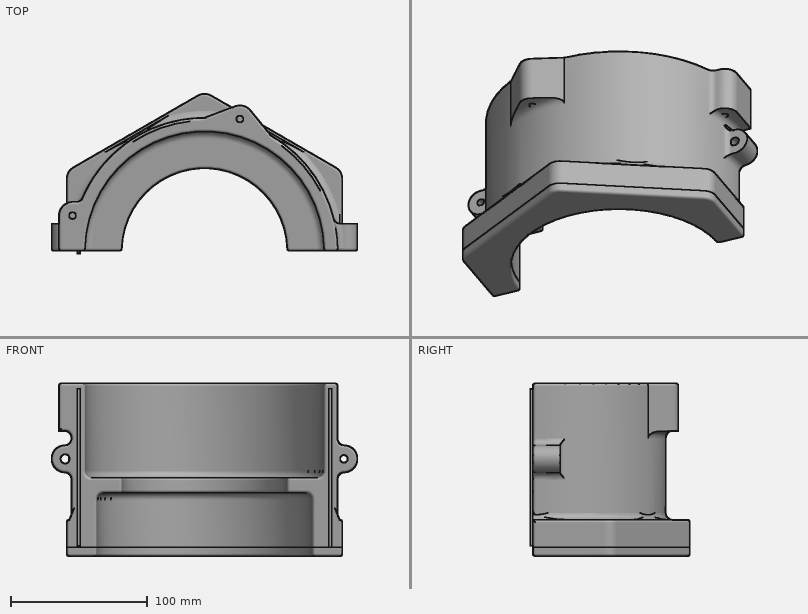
import cadquery as cq
import math


height = 126.71
plate_thickness = 6.71
edge_round = 2.0
cove_radius = 5.0
tolerance = 0.1
cutter_size = 4 * height

wall_radius = 97.5
upper_bore_radius = 87.5
lower_bore_radius = 79.0
throat_radius = 60.5
ledge_bottom = 46.5
ledge_top = 57.6

foot_half_width = 101.0
foot_height = plate_thickness + 20.0
foot_corner_radius = 10.0

lug_offset = 102.0
lug_height = 71.3
lug_radius = 10.0
lug_depth = 20.0
lug_hole_radii = {-1: 3.3, 1: 2.7}

ear_pitch_radius = 100.0
corner_ear_angle = 165.0
flanked_ear_angle = 75.0
ear_flank_angle = 15.0
ear_radius = 10.0
ear_height = 35.0
ear_hole_radius = 2.5

tongue_offset = 92.0
tongue_width = 2.0
tongue_depth = 2.0
tongue_top = height - 4.2
tongue_clearance = 1.0


def cylinder(radius, bottom, top):
    return cq.Workplane(origin=(0, 0, bottom)).circle(radius).extrude(top - bottom)


def keep_half(body):
    """Remove everything in front of the split face."""
    front = cq.Workplane().box(cutter_size, cutter_size, cutter_size, centered=(True, False, True))
    return body.cut(front.translate((0, -cutter_size, 0)))


def edges_in_box(x_limits, y_max, z_limits):
    """Selector for edges that lie fully inside a box that starts at the split face."""
    low = (x_limits[0] - tolerance, -tolerance, z_limits[0] - tolerance)
    high = (x_limits[1] + tolerance, y_max + tolerance, z_limits[1] + tolerance)
    return cq.selectors.BoxSelector(low, high, boundingbox=True)


def hexagon(half_width, corner_radius):
    """Hexagon with two corners on the Y axis and two flats facing +X and -X."""
    corner_distance = half_width / math.cos(math.pi / 6)
    return cq.Sketch().regularPolygon(corner_distance, 6).vertices().fillet(corner_radius)


def foot_cove():
    """Blend from the wall down to the foot, cut back where the flats come close to the wall."""
    outer = wall_radius + cove_radius
    top = foot_height + cove_radius
    ring = (
        cq.Workplane("XZ").moveTo(0, foot_height).lineTo(outer, foot_height)
        .radiusArc((wall_radius, top), cove_radius)
        .lineTo(0, top).close()
        .revolve(360, (0, 0), (0, 1))
    )
    inset = foot_half_width - edge_round
    run = inset - wall_radius
    rise = math.sqrt(cove_radius ** 2 - (cove_radius - run) ** 2)
    limit = (
        cq.Workplane(origin=(0, 0, foot_height))
        .placeSketch(hexagon(inset, foot_corner_radius - edge_round))
        .extrude(cove_radius, taper=math.degrees(math.atan(run / rise)))
    )
    return ring.intersect(limit)


def foot():
    half = keep_half(
        cq.Workplane().placeSketch(hexagon(foot_half_width, foot_corner_radius)).extrude(foot_height)
    )
    split_corners = half.faces("<Y").edges("|Z").vals()
    top_outline = half.faces(">Z").edges("not <Y").vals()
    rounded = half.newObject(split_corners + top_outline).fillet(edge_round)
    return rounded.union(foot_cove())


def side_lug(side):
    """Round lug standing out from the wall behind the split face."""
    centre = cq.Workplane("XZ", origin=(side * lug_offset, 0, lug_height))
    web_length = lug_offset - upper_bore_radius
    boss = centre.circle(lug_radius).extrude(-lug_depth)
    web = centre.center(-side * web_length / 2, 0).rect(web_length, 2 * lug_radius).extrude(-lug_depth)
    return boss.union(web)


def polar(radius, angle):
    return radius * math.cos(math.radians(angle)), radius * math.sin(math.radians(angle))


def corner_ear():
    """Ear whose straight side runs down to the split face."""
    x, y = polar(ear_pitch_radius, corner_ear_angle)
    outline = (
        cq.Workplane(origin=(0, 0, height)).moveTo(-upper_bore_radius, 0).lineTo(x - ear_radius, 0)
        .lineTo(x - ear_radius, y).radiusArc((x, y + ear_radius), ear_radius)
        .lineTo(-upper_bore_radius, y + ear_radius).close()
    )
    return outline.extrude(-ear_height)


def flanked_ear():
    """Ear with two straight flanks that run from the wall tangent to its round end."""
    root_x, root_y = polar(wall_radius, ear_flank_angle)
    setback = ear_pitch_radius - root_x
    tangent_angle = math.atan2(setback, root_y) + math.asin(ear_radius / math.hypot(setback, root_y))
    tangent_x = ear_pitch_radius + ear_radius * math.cos(tangent_angle)
    tangent_y = ear_radius * math.sin(tangent_angle)
    outline = (
        cq.Workplane(origin=(0, 0, height)).moveTo(upper_bore_radius, 0).lineTo(root_x, -root_y)
        .lineTo(tangent_x, -tangent_y)
        .threePointArc((ear_pitch_radius + ear_radius, 0), (tangent_x, tangent_y))
        .lineTo(root_x, root_y).close()
    )
    return outline.extrude(-ear_height).rotate((0, 0, 0), (0, 0, 1), flanked_ear_angle)


def add_lug_coves(body):
    wall_x_at_lug_end = math.sqrt(wall_radius ** 2 - lug_depth ** 2)
    z_limits = (lug_height - lug_radius, lug_height + lug_radius)
    for side in (-1, 1):
        x_limits = sorted((side * wall_x_at_lug_end, side * wall_radius))
        body = body.edges(edges_in_box(x_limits, lug_depth, z_limits)).fillet(cove_radius)
    return body


def add_ear_coves(body):
    """Coves under both ears and along the upright side of the corner ear."""
    ear_bottom = height - ear_height
    side_y = polar(ear_pitch_radius, corner_ear_angle)[1] + ear_radius
    side_x = -math.sqrt(wall_radius ** 2 - side_y ** 2)
    corner_ear_joint = edges_in_box((-wall_radius, side_x), side_y, (ear_bottom, ear_bottom))
    upright_joint = edges_in_box((side_x, side_x), side_y, (ear_bottom, height))
    joint_edges = body.edges(corner_ear_joint).edges("%CIRCLE").vals() + body.edges(upright_joint).vals()
    body = body.newObject(joint_edges).fillet(cove_radius)
    root_x = polar(wall_radius, flanked_ear_angle - ear_flank_angle)[0]
    flanked_ear_joint = edges_in_box((0, root_x), wall_radius, (ear_bottom, ear_bottom))
    return body.edges(flanked_ear_joint).fillet(cove_radius)


def cut_bores(body):
    upper_bore = cylinder(upper_bore_radius, ledge_top, height).faces("<Z").edges().fillet(cove_radius)
    lower_bore = cylinder(lower_bore_radius, 0, ledge_bottom).faces(">Z").edges().fillet(cove_radius)
    throat = cylinder(throat_radius, 0, height)
    return body.cut(upper_bore).cut(lower_bore).cut(throat)


def round_edges(body):
    """Round the split face outline, the top and bottom rims and the rims of the throat."""
    full_x = (-cutter_size, cutter_size)
    bore_x = (-upper_bore_radius, upper_bore_radius)
    throat_x = (-throat_radius, throat_radius)
    selected = (
        edges_in_box(full_x, cutter_size, (height, height))
        + edges_in_box(full_x, cutter_size, (0, 0))
        + edges_in_box(full_x, 0, (foot_height + edge_round, height))
        + edges_in_box(bore_x, 0, (0, height))
        + edges_in_box(throat_x, throat_radius, (ledge_bottom, ledge_top))
    )
    return body.edges(selected).fillet(edge_round)


def drill_holes(body):
    for side, radius in lug_hole_radii.items():
        centre = (side * lug_offset, 0, lug_height)
        body = body.cut(cq.Workplane("XZ", origin=centre).circle(radius).extrude(-lug_depth))
    for angle in (corner_ear_angle, flanked_ear_angle):
        hole = cylinder(ear_hole_radius, height - ear_height, height)
        body = body.cut(hole.translate((*polar(ear_pitch_radius, angle), 0)))
    return body


def joint_bar(x, bottom):
    """Upright bar centred on the split face, half of it standing out and half sunk in."""
    bar = cq.Workplane(origin=(x, 0, bottom)).rect(tongue_width, 2 * tongue_depth)
    return bar.extrude(tongue_top - bottom)


def full_shape():
    """Housing and base plate in one piece, before they are parted."""
    body = cylinder(wall_radius, 0, height).union(foot())
    for side in lug_hole_radii:
        body = body.union(side_lug(side))
    body = keep_half(body.union(corner_ear()).union(flanked_ear()))
    body = add_ear_coves(add_lug_coves(body))
    return drill_holes(round_edges(cut_bores(body)))


blank = full_shape()
plate_zone = cq.Workplane().rect(cutter_size, cutter_size).extrude(plate_thickness)

base_plate = blank.intersect(plate_zone)

housing = (
    blank.cut(plate_zone)
    .union(joint_bar(-tongue_offset, plate_thickness + tongue_clearance))
    .cut(joint_bar(tongue_offset, plate_thickness))
)

result = cq.Compound.makeCompound([housing.val(), base_plate.val()])